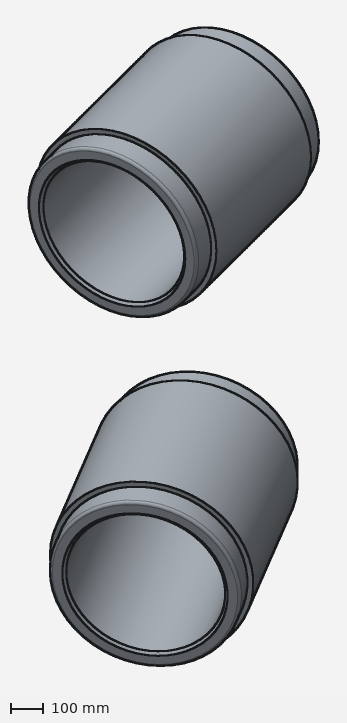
import cadquery as cq

total_length = 735.0
body_length = 565.0
body_diameter = 640.0
end_diameter = 603.0
bore_diameter = 500.0

rim_fillet = 10.0
bore_chamfer = 10.0


def cylinder_along_y(diameter, length):
    """Solid cylinder on the Y axis, centred on the origin."""
    start_face = cq.Workplane("XZ", origin=(0, length / 2, 0))
    return start_face.circle(diameter / 2).extrude(length)


def make_end_journals():
    """Reduced-diameter core whose outer rims are rounded at both ends."""
    journals = cylinder_along_y(end_diameter, total_length)
    return journals.faces("<Y or >Y").edges().fillet(rim_fillet)


def make_bore_cutter():
    """Through bore that flares into a 45 degree chamfer at each end face."""
    bore_radius = bore_diameter / 2
    mouth_radius = bore_radius + bore_chamfer
    half_length = total_length / 2
    chamfer_start = half_length - bore_chamfer
    half_profile = [
        (0, -half_length),
        (mouth_radius, -half_length),
        (bore_radius, -chamfer_start),
        (bore_radius, chamfer_start),
        (mouth_radius, half_length),
        (0, half_length),
    ]
    return cq.Workplane("XY").polyline(half_profile).close().revolve(360, (0, 0, 0), (0, 1, 0))


body = cylinder_along_y(body_diameter, body_length)
result = body.union(make_end_journals()).cut(make_bore_cutter())